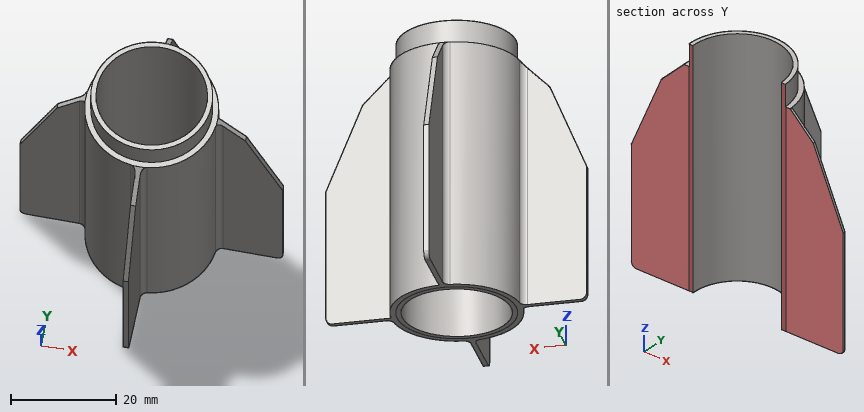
import cadquery as cq

total_height = 55.9
shell_height = 50.8
shell_diameter = 25.4
liner_outer_diameter = 23.15
liner_inner_diameter = 21.1

fin_span = 50.8
fin_thickness = 1.0
fin_shoulder_radius = 18.2
fin_shoulder_height = 45.2
fin_tip_height = 27.8
fin_corner_radius = 1.3
root_fillet_radius = 1.3

shell_radius = shell_diameter / 2
bore_radius = liner_outer_diameter / 2
fin_tip_radius = fin_span / 2
fin_root_radius = (bore_radius + shell_radius) / 2

fins = [
    (0, True, False),
    (90, False, True),
    (180, True, True),
    (270, True, True),
]


def make_fin():
    """Flat fin pointing along +X, with its lower outer corner rounded."""
    plate = (
        cq.Workplane("XZ")
        .moveTo(fin_root_radius, 0)
        .lineTo(fin_tip_radius, 0)
        .lineTo(fin_tip_radius, fin_tip_height)
        .lineTo(fin_shoulder_radius, fin_shoulder_height)
        .lineTo(shell_radius, shell_height)
        .lineTo(fin_root_radius, shell_height)
        .close()
        .extrude(fin_thickness / 2, both=True)
    )
    return plate.edges("|Y").edges(">X and <Z").fillet(fin_corner_radius)


def make_root_fillet(side):
    """Concave fillet between the +X fin and the shell; side is +1 for +Y and -1 for -Y."""
    center_y = fin_thickness / 2 + root_fillet_radius
    center_distance = shell_radius + root_fillet_radius
    center_x = (center_distance**2 - center_y**2) ** 0.5
    shell_tangent_x = center_x * shell_radius / center_distance
    shell_tangent_y = center_y * shell_radius / center_distance

    to_shell = cq.Vector(-center_x, -center_y).normalized()
    to_fin = cq.Vector(0, -1)
    to_middle = (to_shell + to_fin).normalized() * root_fillet_radius

    return (
        cq.Workplane("XY")
        .moveTo(fin_root_radius, 0)
        .lineTo(center_x, 0)
        .lineTo(center_x, side * fin_thickness / 2)
        .threePointArc(
            (center_x + to_middle.x, side * (center_y + to_middle.y)),
            (shell_tangent_x, side * shell_tangent_y),
        )
        .lineTo(fin_root_radius, side * fin_thickness / 2)
        .close()
        .extrude(shell_height)
        .intersect(make_fillet_envelope())
    )


def make_fillet_envelope():
    """Prism that trims the fillets to the sloping top edge of the fin along +X."""
    return (
        cq.Workplane("XZ")
        .lineTo(fin_shoulder_radius, 0)
        .lineTo(fin_shoulder_radius, fin_shoulder_height)
        .lineTo(shell_radius, shell_height)
        .lineTo(0, shell_height)
        .close()
        .extrude(shell_radius, both=True)
    )


def make_fin_can():
    """Cylindrical shell with four fins around it, bored to take the liner."""
    can = cq.Workplane("XY").circle(shell_radius).extrude(shell_height)
    for angle, fillet_clockwise, fillet_counterclockwise in fins:
        fin = make_fin()
        if fillet_clockwise:
            fin = fin.union(make_root_fillet(-1))
        if fillet_counterclockwise:
            fin = fin.union(make_root_fillet(1))
        can = can.union(fin.rotate((0, 0, 0), (0, 0, 1), angle))
    bore = cq.Workplane("XY").circle(bore_radius).extrude(shell_height)
    return can.cut(bore)


def make_liner():
    """Open tube that fills the bore and stands out above the shell."""
    return (
        cq.Workplane("XY")
        .circle(bore_radius)
        .circle(liner_inner_diameter / 2)
        .extrude(total_height)
    )


fin_can = make_fin_can()
liner = make_liner()

result = cq.Compound.makeCompound([fin_can.val(), liner.val()])